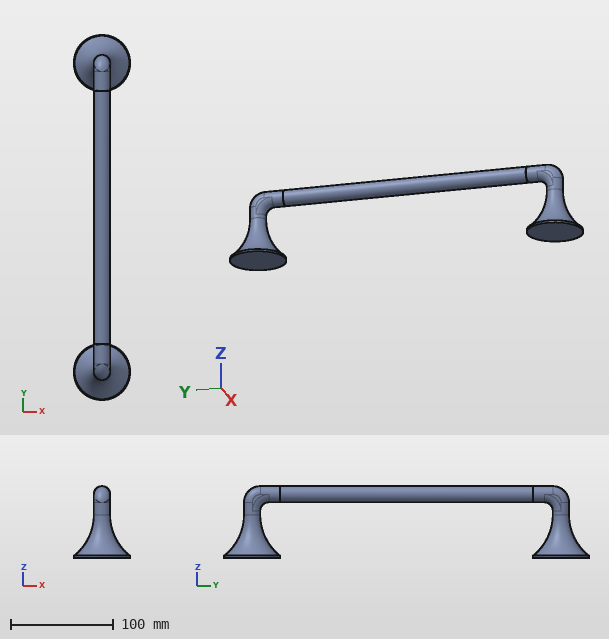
import cadquery as cq

overall_length = 355.0
overall_height = 70.0
foot_diameter = 55.0
tube_diameter = 16.0

foot_radius = foot_diameter / 2
tube_radius = tube_diameter / 2
foot_offset = (overall_length - foot_diameter) / 2
rail_height = overall_height - tube_radius

rim_thickness = 2.7
rim_round = 1.0
flare_top = 42.0

outer_bend_radius = tube_radius
inner_bend_radius = 2 * tube_radius
elbow_reach = 27.0
rail_end = foot_offset - elbow_reach

groove_width = 0.5
groove_depth = 0.1

half_bend = 0.5 ** 0.5


def bend_path(bend_radius):
    """Foot centreline up from the flare, round the bend and along -Y to the rail."""
    mid_offset = bend_radius * (1 - half_bend)
    return (
        cq.Workplane("YZ")
        .moveTo(foot_offset, flare_top)
        .lineTo(foot_offset, rail_height - bend_radius)
        .threePointArc(
            (foot_offset - mid_offset, rail_height - mid_offset),
            (foot_offset - bend_radius, rail_height),
        )
        .lineTo(rail_end, rail_height)
    )


def half_tube(bend_radius, side):
    """Half-round bar along a bend path; side is +1 for its outer half, -1 for its inner half."""
    return (
        cq.Workplane("XY", origin=(0, foot_offset, flare_top))
        .moveTo(-tube_radius, 0)
        .threePointArc((0, side * tube_radius), (tube_radius, 0))
        .close()
        .sweep(bend_path(bend_radius))
    )


def bend_web():
    """Tube-wide crescent that fills the space between the two bend paths."""
    outer_mid = outer_bend_radius * (1 - half_bend)
    inner_mid = inner_bend_radius * (1 - half_bend)
    return (
        cq.Workplane("YZ")
        .moveTo(foot_offset, rail_height - inner_bend_radius)
        .lineTo(foot_offset, rail_height - outer_bend_radius)
        .threePointArc(
            (foot_offset - outer_mid, rail_height - outer_mid),
            (foot_offset - outer_bend_radius, rail_height),
        )
        .lineTo(foot_offset - inner_bend_radius, rail_height)
        .threePointArc(
            (foot_offset - inner_mid, rail_height - inner_mid),
            (foot_offset, rail_height - inner_bend_radius),
        )
        .close()
        .extrude(tube_radius, both=True)
    )


def elbow():
    outer_half = half_tube(outer_bend_radius, 1)
    inner_half = half_tube(inner_bend_radius, -1)
    return outer_half.union(bend_web()).union(inner_half)


def foot():
    """Revolved foot whose flare is an arc that runs vertically into the tube."""
    flare_bottom_radius = foot_radius - rim_round
    flare_height = flare_top - rim_thickness
    flare_width = flare_bottom_radius - tube_radius
    flare_radius = (flare_height**2 + flare_width**2) / (2 * flare_width)
    mid_height = flare_height / 2
    mid_radius = tube_radius + flare_radius - (flare_radius**2 - mid_height**2) ** 0.5
    return (
        cq.Workplane("XZ", origin=(0, foot_offset, 0))
        .lineTo(foot_radius, 0)
        .lineTo(foot_radius, rim_thickness - rim_round)
        .radiusArc((flare_bottom_radius, rim_thickness), -rim_round)
        .threePointArc((mid_radius, flare_top - mid_height), (tube_radius, flare_top))
        .lineTo(0, flare_top)
        .close()
        .revolve(360, (0, 0, 0), (0, 1, 0))
    )


def joint_groove():
    """Ring just inside the rail end, to be cut from the tube surface."""
    return (
        cq.Workplane("XZ", origin=(0, rail_end, rail_height))
        .circle(tube_diameter)
        .circle(tube_radius - groove_depth)
        .extrude(groove_width)
    )


def rail():
    return (
        cq.Workplane("XZ", origin=(0, rail_end, rail_height))
        .circle(tube_radius)
        .extrude(2 * rail_end)
    )


post = foot().union(elbow())
groove = joint_groove()
result = rail().union(post).union(post.mirror("XZ")).cut(groove).cut(groove.mirror("XZ"))